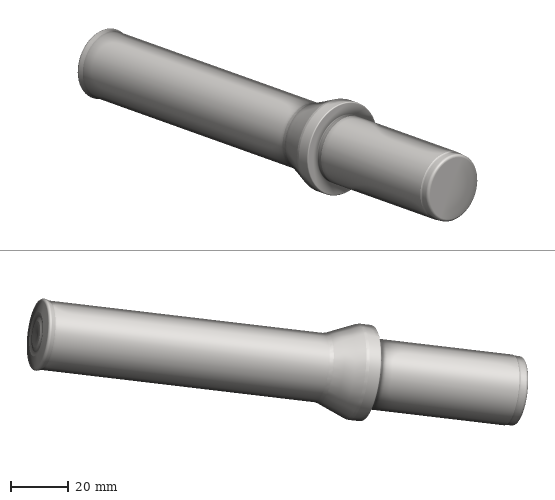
import cadquery as cq
import math

overall_length = 178.0
shank_length = 56.0
body_radius = 24.5 / 2
shank_radius = 25.0 / 2
collar_radius = 34.0 / 2

tip_radius = 25.5 / 2
tip_corner_radius = 0.9
back_taper_angle = 18.0
outer_ridge_radius = 7.8
valley_radius = 6.25
inner_ridge_radius = 4.65
centre_flat_radius = 0.3
outer_face_angle = 7.4
valley_depth = 0.37
centre_dish_angle = 5.6

collar_rear_x = overall_length - shank_length
cone_foot_x = 105.1
cone_top_x = 117.0
cone_foot_fillet = 4.0
cone_top_fillet = 3.0
collar_rear_fillet = 0.4

relief_root_fillet = 0.3
relief_length = 0.95
relief_runout_length = 1.15
tail_length = 2.9
tail_runout_length = 0.7
tail_round = 1.0

relief_end_x = collar_rear_x + relief_length
shank_start_x = relief_end_x + relief_runout_length
tail_x = overall_length - tail_length
shank_end_x = tail_x - tail_runout_length


def runout_radius(length):
    """Radius of an arc tangent to the body that reaches the shank radius over the length."""
    step = shank_radius - body_radius
    return (length**2 + step**2) / (2 * step)


def rise(run, angle):
    """Axial distance that a face tilted by the angle covers over a radial run."""
    return run * math.tan(math.radians(angle))


ridge_x = 0.0
valley_x = ridge_x + valley_depth
centre_x = ridge_x + rise(inner_ridge_radius - centre_flat_radius, centre_dish_angle)

face_tilt = math.radians(outer_face_angle)
taper_tilt = math.radians(back_taper_angle)
corner_centre_radius = tip_radius - tip_corner_radius
corner_centre_x = (
    ridge_x
    + rise(corner_centre_radius - outer_ridge_radius, outer_face_angle)
    + tip_corner_radius / math.cos(face_tilt)
)
corner_start = (
    corner_centre_x - tip_corner_radius * math.cos(face_tilt),
    corner_centre_radius + tip_corner_radius * math.sin(face_tilt),
)
corner_crest = (corner_centre_x, tip_radius)
corner_end = (
    corner_centre_x + tip_corner_radius * math.sin(taper_tilt),
    corner_centre_radius + tip_corner_radius * math.cos(taper_tilt),
)
tip_end_x = corner_end[0] + (corner_end[1] - body_radius) / math.tan(taper_tilt)


def revolve_about_x(profile):
    """Turn a closed half-profile, drawn as (x, radius), into a solid about the X axis."""
    return profile.revolve(360, (0, 0, 0), (1, 0, 0))


def ring(x, radius):
    """Select the circular edge of the given radius at x."""
    margin = 0.05
    reach = radius + margin
    return cq.selectors.BoxSelector(
        (x - margin, -reach, -reach), (x + margin, reach, reach), boundingbox=True
    )


def make_cutting_tip():
    profile = (
        cq.Workplane("XZ")
        .moveTo(centre_x, 0)
        .lineTo(centre_x, centre_flat_radius)
        .lineTo(ridge_x, inner_ridge_radius)
        .lineTo(valley_x, valley_radius)
        .lineTo(ridge_x, outer_ridge_radius)
        .lineTo(*corner_start)
        .threePointArc(corner_crest, corner_end)
        .lineTo(tip_end_x, body_radius)
        .lineTo(tip_end_x, 0)
        .close()
    )
    return revolve_about_x(profile)


def make_holder():
    profile = (
        cq.Workplane("XZ")
        .moveTo(tip_end_x, 0)
        .lineTo(tip_end_x, body_radius)
        .lineTo(cone_foot_x, body_radius)
        .lineTo(cone_top_x, collar_radius)
        .lineTo(collar_rear_x, collar_radius)
        .lineTo(collar_rear_x, body_radius)
        .lineTo(relief_end_x, body_radius)
        .radiusArc((shank_start_x, shank_radius), -runout_radius(relief_runout_length))
        .lineTo(shank_end_x, shank_radius)
        .radiusArc((tail_x, body_radius), -runout_radius(tail_runout_length))
        .lineTo(overall_length, body_radius)
        .lineTo(overall_length, 0)
        .close()
    )
    holder = revolve_about_x(profile)
    holder = holder.edges(ring(cone_foot_x, body_radius)).fillet(cone_foot_fillet)
    holder = holder.edges(ring(cone_top_x, collar_radius)).fillet(cone_top_fillet)
    holder = holder.edges(ring(collar_rear_x, body_radius)).fillet(relief_root_fillet)
    holder = holder.edges(ring(collar_rear_x, collar_radius)).fillet(collar_rear_fillet)
    return holder.edges(ring(overall_length, body_radius)).fillet(tail_round)


cutting_tip = make_cutting_tip()
holder = make_holder()
result = cq.Compound.makeCompound([cutting_tip.val(), holder.val()])